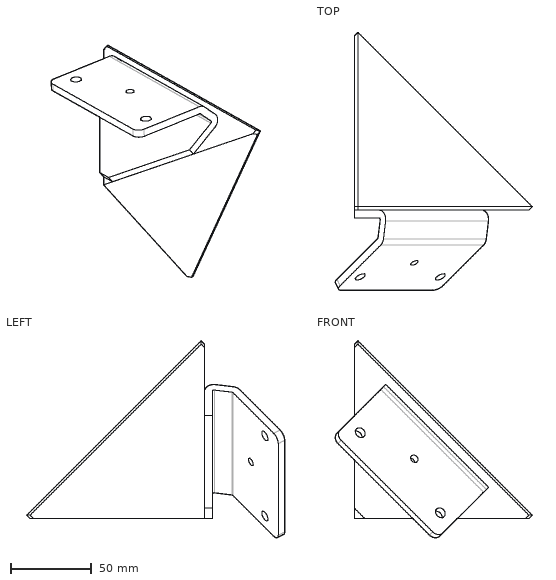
import cadquery as cq
import math

inner_leg = 107.9
wall = 2.0

bracket_width = 90.0
bracket_sheet = 5.0
flange_top = 64.6
bridge_length = 12.6
bracket_front = -51.7
bend_inner_radius = 1.0
tab_corner_radius = 5.0
flange_corner_cut = 6.4

mount_hole_diameter = 6.5
mount_hole_spacing = 70.0
mount_hole_inset = 14.4
centre_hole_diameter = 5.0
centre_hole_inset = 29.4

fold_direction = cq.Vector(1, 0, 1).normalized()
bend_direction = cq.Vector(-1, 0, 1).normalized()
tab_angle = math.atan(math.sqrt(2))
second_bend_angle = math.radians(45)
bridge_angle = tab_angle - second_bend_angle


def trim(body, point, outward):
    """Remove everything on the outward side of a plane."""
    reach = 4 * inner_leg
    plane = cq.Plane(origin=point, normal=outward)
    cutter = cq.Workplane(plane).rect(reach, reach).extrude(reach)
    return body.cut(cutter)


def make_reflector():
    size = inner_leg + wall
    outside = cq.Workplane("XY").box(size, size, size, centered=False)
    outside = outside.translate((-wall, -wall, -wall))
    inside = cq.Workplane("XY").box(size, size, size, centered=False)
    body = outside.cut(inside)

    for axis in range(3):
        rim_normal = [1, 1, 1]
        rim_normal[axis] = -1
        rim_point = [0, 0, 0]
        rim_point[axis - 1] = inner_leg
        body = trim(body, tuple(rim_point), tuple(rim_normal))

        tip_normal = [-1, -1, -1]
        tip_normal[axis] = 1
        tip_point = [0, 0, 0]
        tip_point[axis] = inner_leg
        body = trim(body, tuple(tip_point), tuple(tip_normal))
    return body


flange_front = -wall - bracket_sheet
bridge_end = (
    flange_top - bridge_length * math.sin(bridge_angle),
    flange_front - bridge_length * math.cos(bridge_angle),
)
tab_inner_front = bracket_front + bracket_sheet * math.sin(tab_angle)
tab_length = (bridge_end[1] - tab_inner_front) / math.cos(tab_angle)
tab_end = (bridge_end[0] - tab_length * math.sin(tab_angle), tab_inner_front)


def section_plane(along_bend):
    origin = bend_direction * along_bend
    return cq.Plane(origin=origin, xDir=fold_direction, normal=bend_direction)


def tab_plane():
    """Plane on the tab's inner face: origin at its free edge, local Y up the tab, Z outward."""
    up_tab = fold_direction * math.sin(tab_angle) + cq.Vector(0, math.cos(tab_angle), 0)
    outward = fold_direction * math.cos(tab_angle) - cq.Vector(0, math.sin(tab_angle), 0)
    origin = fold_direction * tab_end[0] + cq.Vector(0, tab_end[1], 0)
    return cq.Plane(origin=origin, xDir=up_tab.cross(outward), normal=outward)


def make_bent_sheet():
    miter = math.tan(second_bend_angle / 2)
    outer_first_bend = flange_top + bracket_sheet * math.tan((math.pi / 2 + bridge_angle) / 2)
    outer_second_bend = (
        bridge_end[0] + bracket_sheet * (math.cos(bridge_angle) - miter * math.sin(bridge_angle)),
        bridge_end[1] - bracket_sheet * (math.sin(bridge_angle) + miter * math.cos(bridge_angle)),
    )
    outer_tab_end = (tab_end[0] + bracket_sheet * math.cos(tab_angle), bracket_front)
    flange_start = -2 * wall
    sheet = (
        cq.Workplane(section_plane(-bracket_width / 2))
        .polyline([
            (flange_start, flange_front),
            (flange_top, flange_front),
            bridge_end,
            tab_end,
            outer_tab_end,
            outer_second_bend,
            (outer_first_bend, -wall),
            (flange_start, -wall),
        ])
        .close()
        .extrude(bracket_width)
    )

    def bend_edge(fold, y):
        return cq.selectors.NearestToPointSelector((fold_direction * fold + cq.Vector(0, y, 0)).toTuple())

    outer_radius = bend_inner_radius + bracket_sheet
    for fold, y, radius in [
        (flange_top, flange_front, bend_inner_radius),
        (*bridge_end, bend_inner_radius),
        (outer_first_bend, -wall, outer_radius),
        (*outer_second_bend, outer_radius),
    ]:
        sheet = sheet.edges(bend_edge(fold, y)).fillet(radius)
    return sheet


def trim_flange(sheet):
    """Finish the flange flush with the reflector and cut its corner."""
    corner = (-wall, -wall, -wall)
    block_size = 2 * inner_leg
    flange_zone = (
        cq.Workplane("XY")
        .box(block_size, bracket_sheet, block_size, centered=False)
        .translate((-wall, flange_front, -wall))
    )
    front_zone = cq.Workplane("XZ", origin=(0, flange_front, 0)).rect(2 * block_size, 2 * block_size)
    front_zone = front_zone.extrude(block_size)
    corner_cut = (
        cq.Workplane("XZ", origin=corner)
        .polyline([(0, 0), (flange_corner_cut, 0), (0, flange_corner_cut)])
        .close()
        .extrude(bracket_sheet)
    )
    return sheet.intersect(flange_zone.union(front_zone)).cut(corner_cut)


def finish_tab(sheet):
    """Round the free corners of the tab and drill its holes."""
    plane = tab_plane()
    for side in (-1, 1):
        corner = plane.toWorldCoords((side * bracket_width / 2, 0, bracket_sheet / 2))
        sheet = sheet.edges(cq.selectors.NearestToPointSelector(corner.toTuple())).fillet(tab_corner_radius)

    mount_holes = (
        cq.Workplane(plane)
        .pushPoints([(side * mount_hole_spacing / 2, mount_hole_inset) for side in (-1, 1)])
        .circle(mount_hole_diameter / 2)
        .extrude(bracket_sheet)
    )
    centre_hole = (
        cq.Workplane(plane)
        .center(0, centre_hole_inset)
        .circle(centre_hole_diameter / 2)
        .extrude(bracket_sheet)
    )
    return sheet.cut(mount_holes).cut(centre_hole)


reflector = make_reflector()
bracket = finish_tab(trim_flange(make_bent_sheet()))

result = cq.Compound.makeCompound([reflector.solids().val(), bracket.solids().val()])